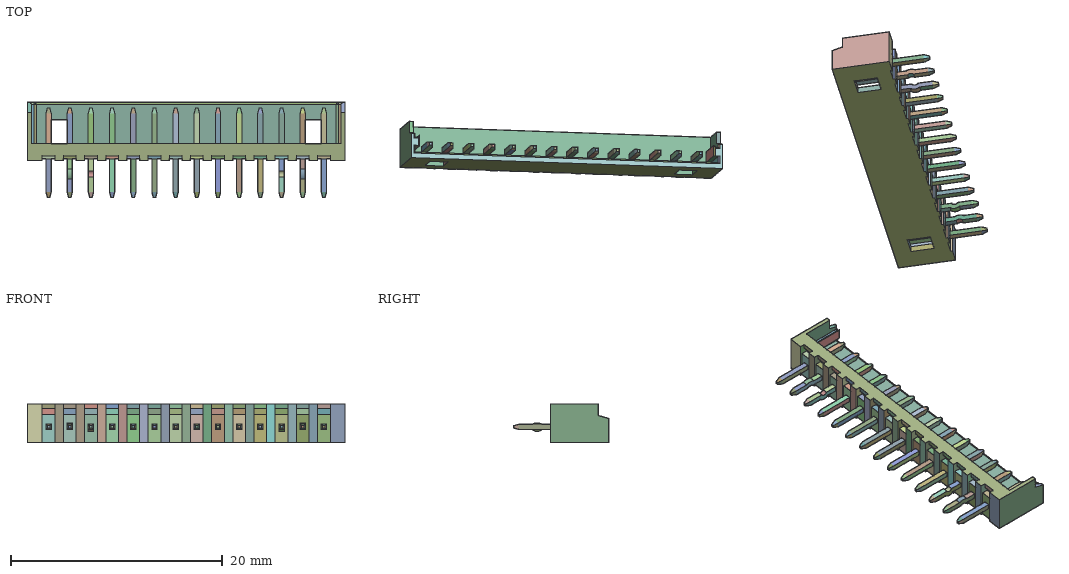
import cadquery as cq


length = 30.0
depth = 5.52
height = 3.65
rear_wall = 1.62
side_wall = 0.4
floor_top = 0.6

step_length = 1.0
step_drop = 1.08
step_slope_drop = 0.285

rail_bottom = 1.2
rail_width = 0.45
rail_top = 2.05
lip_height = 0.18
lip_width = 0.25

flare_length = 0.2
flare = 0.15

pin_count = 14
pitch = length / (pin_count + 1)
pin_size = 0.5
pin_z = 1.5
pin_rear = 3.48
pin_recess = 0.57
tip_length = 0.5
tip_size = 0.25

kink_y = -1.25
kink_outer_chord = 0.9
kink_inner_chord = 0.57
kink_rises = {1: 0.12, 2: -0.18}

slot_width = 1.2
slot_depth = 0.18
slot_top_depth = 0.45
slot_top_height = 0.45
pocket_depth = 0.75
pocket_bottom = 1.0

window_width = 1.75
window_length = 2.22

pin_xs = [(i - (pin_count - 1) / 2) * pitch for i in range(pin_count)]


def box(x_size, y_range, z_range, x_centre=0.0):
    """Box centred on x_centre in X and spanning the given Y and Z ranges."""
    (y0, y1), (z0, z1) = y_range, z_range
    return (
        cq.Workplane("XY", origin=(x_centre, y0, z0))
        .box(x_size, y1 - y0, z1 - z0, centered=(True, False, False))
    )


def mouth_section(half_width, bottom):
    """Corners (x, z) of the cavity opening, from its floor up to the open top."""
    return [(-half_width, bottom), (half_width, bottom), (half_width, height), (-half_width, height)]


def make_shell():
    """Housing block with stepped side walls, hollowed out in front of the rear wall."""
    step_z = height - step_drop
    outline = [
        (0, 0),
        (depth, 0),
        (depth, step_z - step_slope_drop),
        (depth - step_length, step_z),
        (depth - step_length, height),
        (0, height),
    ]
    block = cq.Workplane("YZ").polyline(outline).close().extrude(length / 2, both=True)
    cavity = box(length - 2 * side_wall, (rear_wall, depth), (floor_top, height))
    inner_half = length / 2 - side_wall
    flare_cut = (
        cq.Workplane("XZ", origin=(0, depth - flare_length, 0))
        .polyline(mouth_section(inner_half, floor_top))
        .close()
        .workplane(offset=-flare_length)
        .polyline(mouth_section(inner_half + flare, floor_top - flare))
        .close()
        .loft(ruled=True)
    )
    return block.cut(cavity).cut(flare_cut)


def rail_section(inset):
    """Corners (x, z) of the +X rail section; inset draws the inner and upper sides back."""
    tip_x = length / 2 - side_wall - rail_width
    root_x = length / 2 - side_wall / 2
    top = rail_top - inset
    return [
        (root_x, rail_bottom),
        (tip_x + inset, rail_bottom),
        (tip_x + inset, top + lip_height),
        (tip_x + lip_width, top),
        (root_x, top),
    ]


def make_rail():
    """Guide rail on the +X wall, tapering at the mouth."""
    rail_end = depth - flare_length
    straight = (
        cq.Workplane("XZ")
        .polyline(rail_section(0))
        .close()
        .extrude(-rail_end)
    )
    taper = (
        cq.Workplane("XZ", origin=(0, rail_end, 0))
        .polyline(rail_section(0))
        .close()
        .workplane(offset=-flare_length)
        .polyline(rail_section(flare))
        .close()
        .loft(ruled=True)
    )
    return straight.union(taper)


def make_slot(x):
    """Rear slot around one pin: deeper at the top, with a deeper pocket just below that."""
    top = height - slot_top_height
    bottom = height - pocket_bottom
    outline = [
        (0, 0),
        (slot_depth, 0),
        (slot_depth, bottom),
        (pocket_depth, bottom),
        (pocket_depth, top),
        (slot_top_depth, top),
        (slot_top_depth, height),
        (0, height),
    ]
    start = x - slot_width / 2
    return cq.Workplane("YZ", origin=(start, 0, 0)).polyline(outline).close().extrude(slot_width)


def make_tip(x, base_y, direction):
    """Tapered end of a pin; direction is +1 towards +Y and -1 towards -Y."""
    return (
        cq.Workplane("XZ", origin=(x, base_y, pin_z))
        .rect(pin_size, pin_size)
        .workplane(offset=-direction * tip_length)
        .rect(tip_size, tip_size)
        .loft(ruled=True)
    )


def make_pin(x, kink_rise):
    """Square pin along Y with tapered ends; a kink rises (+) or dips (-) in its tail."""
    rear = -pin_rear + tip_length
    front = depth - pin_recess - tip_length
    bottom = pin_z - pin_size / 2
    top = pin_z + pin_size / 2
    half_top, half_bottom = kink_outer_chord / 2, kink_inner_chord / 2
    if kink_rise < 0:
        half_top, half_bottom = half_bottom, half_top

    side = cq.Workplane("YZ", origin=(x - pin_size / 2, 0, 0)).moveTo(rear, bottom)
    if kink_rise:
        side = side.lineTo(kink_y - half_bottom, bottom).threePointArc(
            (kink_y, bottom + kink_rise), (kink_y + half_bottom, bottom)
        )
    side = side.lineTo(front, bottom).lineTo(front, top)
    if kink_rise:
        side = side.lineTo(kink_y + half_top, top).threePointArc(
            (kink_y, top + kink_rise), (kink_y - half_top, top)
        )
    shank = side.lineTo(rear, top).close().extrude(pin_size)
    return shank.union(make_tip(x, rear, -1)).union(make_tip(x, front, 1))


housing = make_shell()
rail = make_rail()
housing = housing.union(rail).union(rail.mirror("YZ"))

for pin_x in pin_xs:
    housing = housing.cut(make_slot(pin_x))

window_x = (pin_xs[-1] + pin_xs[-2]) / 2
for x_centre in (-window_x, window_x):
    window = box(window_width, (rear_wall, rear_wall + window_length), (0, floor_top), x_centre)
    housing = housing.cut(window)

result = housing
for index, pin_x in enumerate(pin_xs):
    place_from_end = min(index, pin_count - 1 - index)
    result = result.union(make_pin(pin_x, kink_rises.get(place_from_end, 0)))